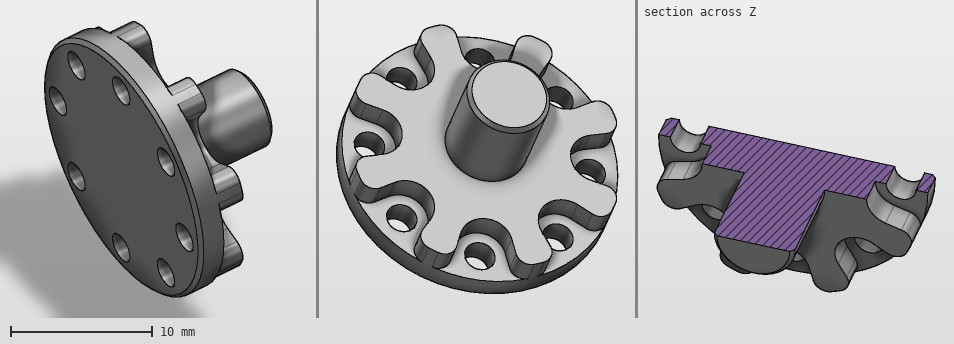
import cadquery as cq
import math

DISC_RADIUS = 10.0
DISC_THICKNESS = 2.0
EDGE_CHAMFER = 0.3

STAR_THICKNESS = 2.0
ARM_TIP_FILLET = 1.0

HOLE_COUNT = 8
HOLE_DIAMETER = 2.2
HOLE_CIRCLE_RADIUS = 8.0
NOTCH_RADIUS = 1.9
NOTCH_WALL_ANGLE = math.radians(15)

SHAFT_DIAMETER = 6.0
TOTAL_LENGTH = 11.0

STAR_FRONT = DISC_THICKNESS
STAR_BACK = STAR_FRONT + STAR_THICKNESS
HOLE_PITCH = 360.0 / HOLE_COUNT


def plane_at(y):
    """XZ workplane at height y, extruding toward +Y (local x = -X, local y = +Z)."""
    return cq.Workplane(cq.Plane(origin=(0, y, 0), xDir=(-1, 0, 0), normal=(0, 1, 0)))


def polar(radius, angle):
    """Point at a radius and an angle in radians measured from the +Z direction."""
    return (radius * math.sin(angle), radius * math.cos(angle))


def make_blank():
    """Disc and star layer in one cylinder, so the arm tips run flush with the disc rim."""
    blank = plane_at(0).circle(DISC_RADIUS).extrude(STAR_BACK)
    return blank.faces("<Y").chamfer(EDGE_CHAMFER)


def make_shaft():
    shaft = plane_at(STAR_FRONT).circle(SHAFT_DIAMETER / 2).extrude(TOTAL_LENGTH - STAR_FRONT)
    return shaft.faces(">Y").chamfer(EDGE_CHAMFER)


def make_notch():
    """Notch round the +Z hole: a round bottom opening outward between two leaning walls."""
    into_arm_x, into_arm_z = polar(1, NOTCH_WALL_ANGLE + math.pi / 2)

    wall_inner = (NOTCH_RADIUS * into_arm_x, HOLE_CIRCLE_RADIUS + NOTCH_RADIUS * into_arm_z)

    fillet_centre_radius = DISC_RADIUS - ARM_TIP_FILLET
    wall_offset = NOTCH_RADIUS - HOLE_CIRCLE_RADIUS * math.sin(NOTCH_WALL_ANGLE)
    lean = math.asin((wall_offset + ARM_TIP_FILLET) / fillet_centre_radius)
    tip_angle = NOTCH_WALL_ANGLE + lean
    centre_x, centre_z = polar(fillet_centre_radius, tip_angle)
    wall_outer = (centre_x - ARM_TIP_FILLET * into_arm_x, centre_z - ARM_TIP_FILLET * into_arm_z)

    wall_normal = NOTCH_WALL_ANGLE - math.pi / 2
    mid_x, mid_z = polar(ARM_TIP_FILLET, (wall_normal + tip_angle) / 2)
    fillet_middle = (centre_x + mid_x, centre_z + mid_z)
    tip = polar(DISC_RADIUS, tip_angle)

    def mirrored(point):
        return (-point[0], point[1])

    return (
        plane_at(STAR_FRONT)
        .moveTo(*tip)
        .threePointArc(fillet_middle, wall_outer)
        .lineTo(*wall_inner)
        .threePointArc((0, HOLE_CIRCLE_RADIUS - NOTCH_RADIUS), mirrored(wall_inner))
        .lineTo(*mirrored(wall_outer))
        .threePointArc(mirrored(fillet_middle), mirrored(tip))
        .threePointArc((0, DISC_RADIUS), tip)
        .close()
        .extrude(STAR_THICKNESS)
    )


def cut_star(blank):
    notch = make_notch()
    for index in range(HOLE_COUNT):
        blank = blank.cut(notch.rotate((0, 0, 0), (0, 1, 0), index * HOLE_PITCH))
    return blank


def make_holes():
    return (
        plane_at(0)
        .polarArray(HOLE_CIRCLE_RADIUS, 0, 360, HOLE_COUNT)
        .circle(HOLE_DIAMETER / 2)
        .extrude(STAR_BACK)
    )


result = cut_star(make_blank()).union(make_shaft()).cut(make_holes())